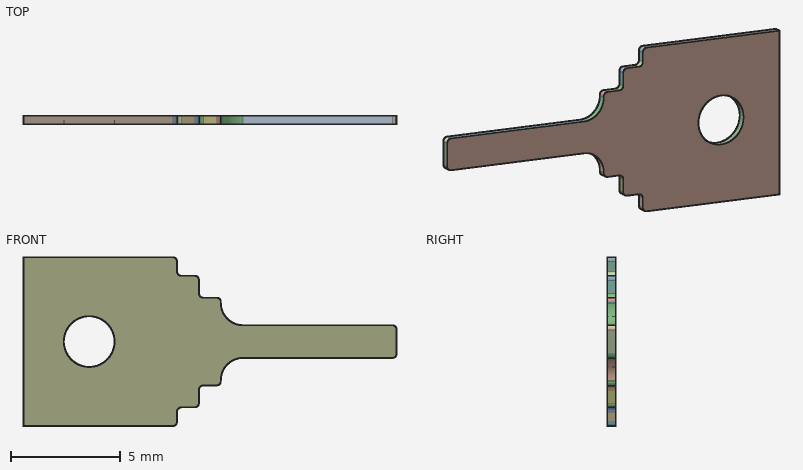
import cadquery as cq

length = 17.0
thickness = 0.4

head_length = 7.0
head_height = 7.7

step_length = 1.0
step_heights = [6.0, 4.0]

stem_height = 1.5
stem_root_radius = 1.0

corner_radius = 0.2

hole_diameter = 2.3
hole_offset = 3.0

pick_margin = corner_radius / 4


def make_strip(end_x, height):
    """Plate strip from the left edge to end_x, centred on the part axis."""
    return cq.Workplane("XY").box(end_x, thickness, height, centered=(False, True, True))


def round_corner_pair(body, x, height, radius):
    """Round the upper and lower through-thickness edges at x, height apart."""
    for z in (-height / 2, height / 2):
        pick_box = cq.selectors.BoxSelector(
            (x - pick_margin, -thickness, z - pick_margin),
            (x + pick_margin, thickness, z + pick_margin),
        )
        body = body.edges(pick_box).fillet(radius)
    return body


def make_hole():
    """Cylinder that cuts the round hole through the full thickness of the head."""
    return (
        cq.Workplane("XZ", origin=(hole_offset, thickness / 2, 0))
        .circle(hole_diameter / 2)
        .extrude(thickness)
    )


sections = [(head_length, head_height)]
for step_number, step_height in enumerate(step_heights, start=1):
    sections.append((head_length + step_number * step_length, step_height))
sections.append((length, stem_height))

plate = make_strip(*sections[0])
for end_x, height in sections[1:]:
    plate = plate.union(make_strip(end_x, height))

for end_x, height in sections:
    plate = round_corner_pair(plate, end_x, height, corner_radius)

inner_radii = [corner_radius] * len(step_heights) + [stem_root_radius]
for (end_x, _), (_, next_height), radius in zip(sections[:-1], sections[1:], inner_radii):
    plate = round_corner_pair(plate, end_x, next_height, radius)

result = plate.cut(make_hole())